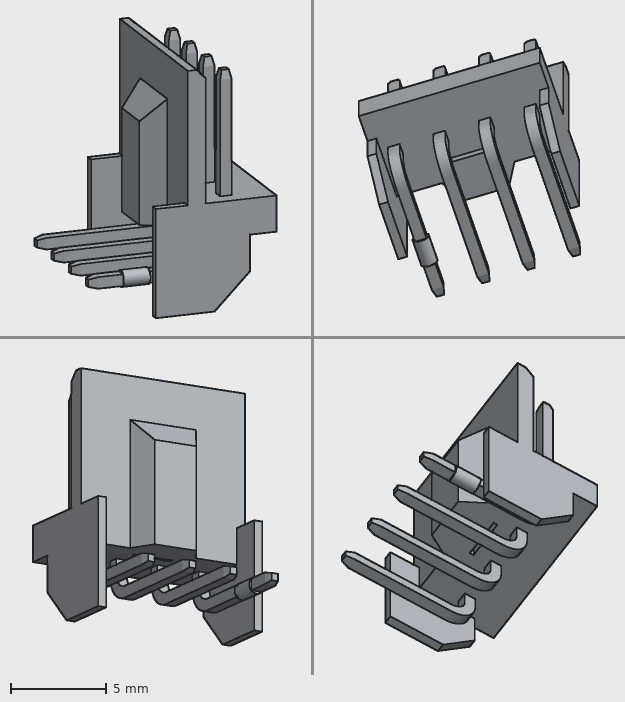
import cadquery as cq


width = 10.0
height = 13.4
base_depth = 5.0
base_top = 6.0
base_thickness = 2.0
base_bottom = base_top - base_thickness
wall_thickness = 1.0
wall_chamfer = 0.5

plate_thickness = 0.5
plate_front = 1.8
plate_back_step = 1.5
plate_corner = 2.0

ramp_depth = 1.3
ramp_base_width = 4.0
ramp_front_width = 2.55
ramp_top = 11.0

slot_width = 2.29
slot_depth = 0.23

pin_count = 4
pin_pitch = 2.5
pin_size = 0.64
pin_tip_size = 0.4
pin_taper = 0.5
pin_top_drop = 0.5
pin_top = height - pin_top_drop
pin_front = 5.2
pin_row_y = base_depth / 2
pin_tail_z = 2.0
bend_inner_radius = 0.87
bend_radius = bend_inner_radius + pin_size / 2

collar_diameter = 0.91
collar_length = 1.5


def make_base():
    slab = cq.Workplane("XY").box(
        width, base_depth, base_thickness, centered=(True, False, False)
    )
    slot = (
        cq.Workplane("XY")
        .box(slot_width, slot_depth, base_thickness, centered=(True, False, False))
        .translate((0, wall_thickness, 0))
    )
    return slab.cut(slot).translate((0, 0, base_bottom))


def make_wall():
    return (
        cq.Workplane("XY", origin=(0, 0, base_bottom))
        .box(width, wall_thickness, height - base_bottom, centered=(True, False, False))
        .faces(">Z")
        .edges(">Y")
        .chamfer(wall_chamfer)
    )


def make_side_plate(x_start):
    plate_back = base_depth - plate_back_step
    outline = [
        (-plate_front, 0),
        (plate_back - plate_corner, 0),
        (plate_back, plate_corner),
        (plate_back, base_bottom),
        (base_depth, base_bottom),
        (base_depth, base_top),
        (-plate_front, base_top),
    ]
    return (
        cq.Workplane("YZ", origin=(x_start, 0, 0))
        .polyline(outline)
        .close()
        .extrude(plate_thickness)
    )


def make_ramp():
    plan = [
        (-ramp_base_width / 2, 0),
        (-ramp_front_width / 2, -ramp_depth),
        (ramp_front_width / 2, -ramp_depth),
        (ramp_base_width / 2, 0),
    ]
    return (
        cq.Workplane("XY", origin=(0, 0, base_bottom))
        .polyline(plan)
        .close()
        .extrude(ramp_top - base_bottom)
        .cut(make_ramp_slope())
    )


def make_ramp_slope():
    slope = [
        (0, ramp_top),
        (-ramp_depth, ramp_top - ramp_depth),
        (-ramp_depth, ramp_top),
    ]
    return (
        cq.Workplane("YZ")
        .polyline(slope)
        .close()
        .extrude(ramp_base_width / 2, both=True)
    )


def tapered_tip(workplane):
    return (
        workplane.rect(pin_size, pin_size)
        .workplane(offset=pin_taper)
        .rect(pin_tip_size, pin_tip_size)
        .loft(combine=True)
    )


def make_pin(x):
    shoulder_z = pin_top - pin_taper
    shoulder_y = pin_taper - pin_front
    path = (
        cq.Workplane("YZ", origin=(x, 0, 0))
        .moveTo(pin_row_y, shoulder_z)
        .lineTo(pin_row_y, pin_tail_z + bend_radius)
        .radiusArc((pin_row_y - bend_radius, pin_tail_z), bend_radius)
        .lineTo(shoulder_y, pin_tail_z)
    )
    shoulder = cq.Workplane("XY", origin=(x, pin_row_y, shoulder_z))
    shaft = shoulder.rect(pin_size, pin_size).sweep(path)
    top_tip = tapered_tip(shoulder)
    tail_tip = tapered_tip(cq.Workplane("XZ", origin=(x, shoulder_y, pin_tail_z)))
    return shaft.union(top_tip).union(tail_tip)


def make_collar(x):
    return (
        cq.Workplane("XZ", origin=(x, -plate_front, pin_tail_z))
        .circle(collar_diameter / 2)
        .extrude(collar_length)
    )


result = make_base().union(make_wall()).union(make_ramp())
for plate_x in (-width / 2, width / 2 - plate_thickness):
    result = result.union(make_side_plate(plate_x))

first_pin_x = -pin_pitch * (pin_count - 1) / 2
pin_positions = [first_pin_x + i * pin_pitch for i in range(pin_count)]
for pin_x in pin_positions:
    result = result.union(make_pin(pin_x))
result = result.union(make_collar(pin_positions[-1]))